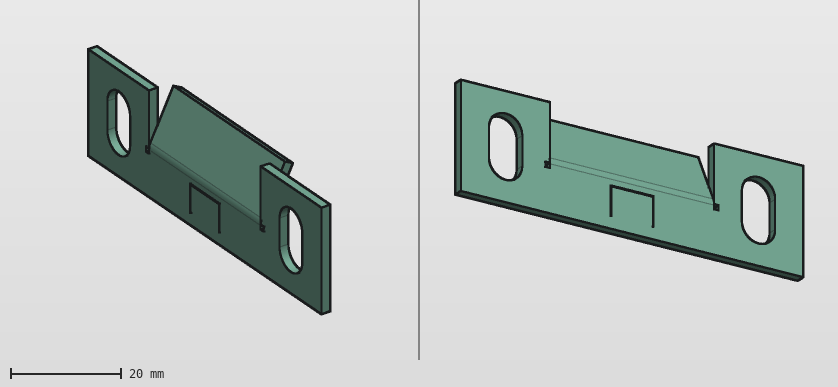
import cadquery as cq
import math

plate_length = 73.0
plate_height = 22.0
thickness = 2.0

slot_spacing = 53.9
slot_width = 7.1
slot_height = 13.1

flap_width = 35.0
bend_start_height = 9.8
bend_outer_radius = 3.0
bend_angle = 26.6
overall_depth = 7.15

relief_width = 0.95
relief_height = 1.0
relief_bottom_height = 9.0

tab_slit_width = 0.15
tab_slit_span = 9.1
tab_slit_top_height = 8.55
tab_slit_bottom_height = 2.55


def box_between(x_min, x_max, z_min, z_max):
    """Block through the full plate thickness over the given x and z ranges."""
    return (
        cq.Workplane("XY")
        .box(x_max - x_min, thickness, z_max - z_min, centered=False)
        .translate((x_min, 0, z_min))
    )


def plate():
    """Plate with a central notch, two slots and two relief cuts."""
    half_flap = flap_width / 2
    body = box_between(-plate_length / 2, plate_length / 2, 0, plate_height)
    body = body.cut(box_between(-half_flap, half_flap, bend_start_height, plate_height))
    slots = (
        cq.Workplane("XZ")
        .pushPoints([(side * slot_spacing / 2, plate_height / 2) for side in (-1, 1)])
        .slot2D(slot_height, slot_width, 90)
        .extrude(-thickness)
    )
    body = body.cut(slots)
    relief_top = relief_bottom_height + relief_height
    for x_min in (-half_flap - relief_width, half_flap):
        body = body.cut(box_between(x_min, x_min + relief_width, relief_bottom_height, relief_top))
    return body


def flap():
    """Bend and straight flap, swept along X from their side profile."""
    angle = math.radians(bend_angle)
    inner_radius = bend_outer_radius - thickness

    def on_bend(radius, turn):
        return (
            bend_outer_radius - radius * math.cos(turn),
            bend_start_height + radius * math.sin(turn),
        )

    front_end = on_bend(bend_outer_radius, angle)
    back_end = on_bend(inner_radius, angle)
    straight_length = (overall_depth - back_end[0]) / math.sin(angle)

    def along_flap(point):
        return (
            point[0] + straight_length * math.sin(angle),
            point[1] + straight_length * math.cos(angle),
        )

    return (
        cq.Workplane("YZ")
        .moveTo(0, bend_start_height)
        .threePointArc(on_bend(bend_outer_radius, angle / 2), front_end)
        .lineTo(*along_flap(front_end))
        .lineTo(*along_flap(back_end))
        .lineTo(*back_end)
        .threePointArc(on_bend(inner_radius, angle / 2), (thickness, bend_start_height))
        .close()
        .extrude(flap_width / 2, both=True)
    )


def tab_slit():
    """Cutter for the slit, shaped like an upside-down U."""
    half_span = tab_slit_span / 2
    outer = box_between(-half_span, half_span, tab_slit_bottom_height, tab_slit_top_height)
    tab = box_between(
        -half_span + tab_slit_width,
        half_span - tab_slit_width,
        tab_slit_bottom_height,
        tab_slit_top_height - tab_slit_width,
    )
    return outer.cut(tab)


result = plate().union(flap()).cut(tab_slit())